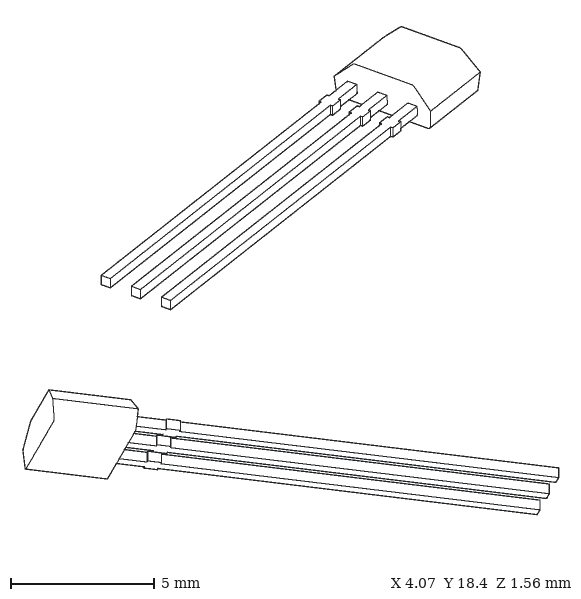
import cadquery as cq

HOUSING_WIDTH = 4.07
HOUSING_LENGTH = 3.1
HOUSING_HEIGHT = 1.56
PARTING_HEIGHT = 0.81
TOP_WIDTH = 2.5
BOTTOM_WIDTH = 3.94
END_DRAFT = 0.07
TOP_FILLET = 0.15
BOTTOM_FILLET = 0.11

TOTAL_LENGTH = 18.4
LEAD_COUNT = 3
LEAD_PITCH = 1.27
LEAD_SIZE = 0.39
STUB_WIDTH = 0.57
STUB_LENGTH = 0.5
STUB_GAP = 1.15

LEAD_LENGTH = TOTAL_LENGTH - HOUSING_LENGTH


def make_housing_half(outer_width, outer_height):
    """Loft from the parting outline to a smaller outer face."""
    outer_length = HOUSING_LENGTH - 2 * END_DRAFT
    return (
        cq.Workplane("XY", origin=(0, HOUSING_LENGTH / 2, PARTING_HEIGHT))
        .rect(HOUSING_WIDTH, HOUSING_LENGTH)
        .workplane(offset=outer_height - PARTING_HEIGHT)
        .rect(outer_width, outer_length)
        .loft(ruled=True)
    )


def make_housing():
    """Join both drafted halves and round the long edges."""
    upper_half = make_housing_half(TOP_WIDTH, HOUSING_HEIGHT)
    upper_half = upper_half.faces(">Z").edges("|Y").fillet(TOP_FILLET)
    lower_half = make_housing_half(BOTTOM_WIDTH, 0)
    lower_half = lower_half.faces("<Z").edges("|Y").fillet(BOTTOM_FILLET)
    return upper_half.union(lower_half)


def make_lead(x_center):
    """Make one straight lead that reaches past the parting edge to the drafted front face."""
    lead_bottom = PARTING_HEIGHT - LEAD_SIZE
    lead = cq.Workplane("XY").box(
        LEAD_SIZE, LEAD_LENGTH + END_DRAFT, LEAD_SIZE, centered=(True, False, False)
    )
    stub = (
        cq.Workplane("XY")
        .box(STUB_WIDTH, STUB_LENGTH, LEAD_SIZE, centered=(True, False, False))
        .translate((0, LEAD_LENGTH - STUB_GAP - STUB_LENGTH, 0))
    )
    return lead.union(stub).translate((x_center, -LEAD_LENGTH, lead_bottom))


housing = make_housing()

leads = []
for index in range(LEAD_COUNT):
    lead_x = (index - (LEAD_COUNT - 1) / 2) * LEAD_PITCH
    leads.append(make_lead(lead_x).cut(housing))

result = cq.Compound.makeCompound([housing.solids().val(), *[lead.solids().val() for lead in leads]])